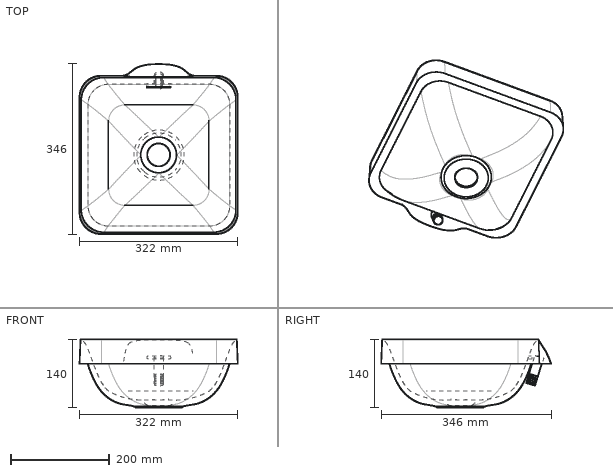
import cadquery as cq

TOTAL_LENGTH = 346.0
TOTAL_HEIGHT = 140.0
RIM_HEIGHT = 50.5
RIM_BOTTOM = TOTAL_HEIGHT - RIM_HEIGHT
FOOT_HEIGHT = 3.5

RIM_WIDTH = 322.0
RIM_DRAFT = 2.0
RIM_CORNER_RADIUS = 44.3
LIP_ROUND = 1.7

OUTER_CORNER_RADIUS = 42.2
OUTER_SECTIONS = [
    (FOOT_HEIGHT, 51.5, OUTER_CORNER_RADIUS),
    (7.5, 74.7, OUTER_CORNER_RADIUS),
    (12.8, 90.0, OUTER_CORNER_RADIUS),
    (19.0, 100.5, OUTER_CORNER_RADIUS),
    (34.2, 117.3, OUTER_CORNER_RADIUS),
    (49.5, 127.5, OUTER_CORNER_RADIUS),
    (69.2, 137.0, OUTER_CORNER_RADIUS),
    (RIM_BOTTOM, 144.2, OUTER_CORNER_RADIUS),
]
FLOOR_LEVEL = 16.5
DRAIN_TOP_RADIUS = 36.3
FLOOR_EDGE = (34.5, 102.0, 33.0)
LIP_EDGE = (119.7, 144.0, 40.8)
DRAIN_MARGIN = 0.5
FLOOR_SECTIONS = [
    (FLOOR_LEVEL, DRAIN_TOP_RADIUS + DRAIN_MARGIN, DRAIN_TOP_RADIUS),
    (24.2, 79.0, 34.5),
    FLOOR_EDGE,
]
WALL_SECTIONS = [
    FLOOR_EDGE,
    (46.7, 113.0, 34.5),
    (72.5, 126.5, 37.0),
    LIP_EDGE,
]
LIP_SECTIONS = [
    LIP_EDGE,
    (132.0, 150.0, 43.0),
    (TOTAL_HEIGHT, 157.0, 45.0),
]

FOOT_BOTTOM_RADIUS = 45.0
FOOT_TOP_RADIUS = 51.2
DRAIN_DIAMETER = 46.0
DRAIN_CONE_BOTTOM = 5.2

SLOT_LENGTH = 49.0
SLOT_HEIGHT = 6.0
SLOT_LEVEL = 103.5
SLOT_START_Y = 124.5
SLOT_END_Y = 145.3

BULGE_HALF_WIDTH = 76.0
BULGE_ROOT_Y = 152.2
BULGE_TOP = TOTAL_HEIGHT - 0.7
BULGE_SECTIONS = [
    (RIM_BOTTOM, 161.0, TOTAL_LENGTH - RIM_WIDTH / 2),
    (115.5, 159.0, 173.5),
    (BULGE_TOP, 157.0, 158.5),
]
FLANK_WIDTH_SHARE = 0.68
FLANK_REACH_SHARE = 0.5

SPIGOT_TIP_Y = 143.0
SPIGOT_TIP_LEVEL = 48.0
SPIGOT_TILT = 17.0
SPIGOT_RADIUS = 9.7
SPIGOT_LENGTH = 58.8
RIDGE_COUNT = 5
RIDGE_PITCH = 3.8
RIDGE_DEPTH = 0.7


def square_loft(sections, ruled=False):
    """Solid through a list of (level, half width, corner radius) sections."""
    wires = []
    for level, half_width, corner_radius in sections:
        square = cq.Workplane("XY", origin=(0, 0, level)).rect(2 * half_width, 2 * half_width).val()
        wires.append(square.fillet2D(corner_radius, square.Vertices()))
    return cq.Workplane(cq.Solid.makeLoft(wires, ruled))


def make_rim_band():
    bottom_half = RIM_WIDTH / 2
    band = square_loft(
        [
            (RIM_BOTTOM, bottom_half, RIM_CORNER_RADIUS),
            (TOTAL_HEIGHT, bottom_half - RIM_DRAFT, RIM_CORNER_RADIUS - RIM_DRAFT),
        ],
        ruled=True,
    )
    return band.faces(">Z").edges().fillet(LIP_ROUND)


def bulge_wire(level, seam_y, peak_y):
    """Bell-shaped outline of the bulge at one level."""
    flank_x = FLANK_WIDTH_SHARE * BULGE_HALF_WIDTH
    flank_y = seam_y + FLANK_REACH_SHARE * (peak_y - seam_y)
    bell = [(-flank_x, flank_y), (0, peak_y), (flank_x, flank_y), (BULGE_HALF_WIDTH, seam_y)]
    outline = (
        cq.Workplane("XY", origin=(0, 0, level))
        .moveTo(-BULGE_HALF_WIDTH, BULGE_ROOT_Y)
        .lineTo(-BULGE_HALF_WIDTH, seam_y)
        .spline(bell, tangents=[(1, 0), (1, 0)], includeCurrent=True)
        .lineTo(BULGE_HALF_WIDTH, BULGE_ROOT_Y)
        .close()
    )
    return outline.val()


def make_overflow_bulge():
    wires = [bulge_wire(*section) for section in BULGE_SECTIONS]
    return cq.Workplane(cq.Solid.makeLoft(wires))


def make_foot():
    return cq.Workplane(cq.Solid.makeCone(FOOT_BOTTOM_RADIUS, FOOT_TOP_RADIUS, FOOT_HEIGHT))


def make_drain():
    """Straight hole that flares out to the bowl floor."""
    hole_radius = DRAIN_DIAMETER / 2
    profile = [
        (0, 0),
        (hole_radius, 0),
        (hole_radius, DRAIN_CONE_BOTTOM),
        (DRAIN_TOP_RADIUS, FLOOR_LEVEL),
        (0, FLOOR_LEVEL),
    ]
    return cq.Workplane("XZ").polyline(profile).close().revolve(360, (0, 0), (0, 1))


def make_overflow_slot():
    return (
        cq.Workplane("XZ", origin=(0, SLOT_START_Y, SLOT_LEVEL))
        .slot2D(SLOT_LENGTH, SLOT_HEIGHT)
        .extrude(SLOT_START_Y - SLOT_END_Y)
    )


def place_spigot(shape):
    """Tilt a shape drawn upright at the origin and move it to the spigot tip."""
    tilted = shape.rotate((0, 0, 0), (1, 0, 0), -SPIGOT_TILT)
    return tilted.translate((0, SPIGOT_TIP_Y, SPIGOT_TIP_LEVEL))


def make_spigot():
    """Round stub whose lower end carries sawtooth ridges."""
    root_radius = SPIGOT_RADIUS - RIDGE_DEPTH
    profile = [(0, 0)]
    for ridge in range(RIDGE_COUNT):
        profile.append((root_radius, ridge * RIDGE_PITCH))
        profile.append((SPIGOT_RADIUS, (ridge + 1) * RIDGE_PITCH))
    ridges_top = RIDGE_COUNT * RIDGE_PITCH
    shank_bottom = ridges_top + RIDGE_DEPTH
    profile += [
        (root_radius, ridges_top),
        (root_radius, shank_bottom),
        (SPIGOT_RADIUS, shank_bottom),
        (SPIGOT_RADIUS, SPIGOT_LENGTH),
        (0, SPIGOT_LENGTH),
    ]
    stub = cq.Workplane("XZ").polyline(profile).close().revolve(360, (0, 0), (0, 1))
    return place_spigot(stub)


def make_spigot_socket():
    """Round hole in the underside of the rim that takes the top of the spigot."""
    return place_spigot(cq.Workplane("XY").circle(SPIGOT_RADIUS).extrude(SPIGOT_LENGTH))


def make_basin():
    outside = square_loft(OUTER_SECTIONS).union(make_rim_band())
    outside = outside.union(make_overflow_bulge()).union(make_foot())
    hollowed = outside
    for sections in (LIP_SECTIONS, WALL_SECTIONS, FLOOR_SECTIONS):
        hollowed = hollowed.cut(square_loft(sections))
    return hollowed.cut(make_drain()).cut(make_overflow_slot()).cut(make_spigot_socket())


basin = make_basin()
spigot = make_spigot()
result = cq.Compound.makeCompound([basin.solids().val(), spigot.val()])